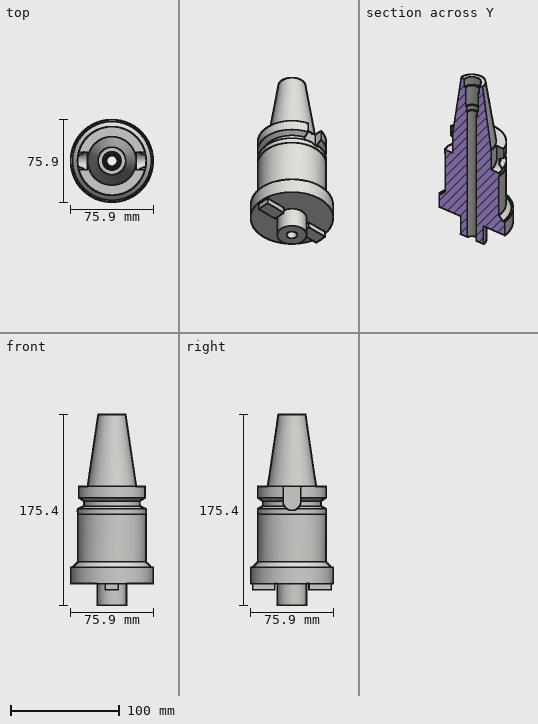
import cadquery as cq

total_height = 175.4
key_bottom = 14.2
collar_bottom = 20.0
collar_top = 35.3
flange_bottom = 83.5
slot_bottom = 87.2
groove_lower_edge = 88.8
groove_floor_bottom = 91.2
groove_floor_top = 95.8
groove_upper_edge = 99.0
flange_top = 109.3
taper_bottom = 110.3

spigot_radius = 13.5
collar_radius = 37.97
flange_radius = 31.5
body_radius = 31.4
groove_radius = 26.8
taper_large_radius = 22.3
taper_small_radius = 12.6

shoulder_height = 4.7
shoulder_radius = body_radius + shoulder_height
body_bottom = collar_top + shoulder_height

entry_radius = 8.5
entry_depth = 8.8
thread_radius = 7.0
thread_depth = 29.8
relief_radius = 6.0
relief_depth = 35.0
through_radius = 4.9

slot_width = 16.1
slot_floor_x = 22.5

key_width = 12.0
key_inner_y = 15.6
key_outer_y = 36.1


def revolved_body():
    outline = [
        (0, 0),
        (spigot_radius, 0),
        (spigot_radius, collar_bottom),
        (collar_radius, collar_bottom),
        (collar_radius, collar_top),
        (shoulder_radius, collar_top),
        (body_radius, body_bottom),
        (body_radius, flange_bottom),
        (flange_radius, flange_bottom),
        (flange_radius, groove_lower_edge),
        (groove_radius, groove_floor_bottom),
        (groove_radius, groove_floor_top),
        (flange_radius, groove_upper_edge),
        (flange_radius, flange_top),
        (taper_large_radius, flange_top),
        (taper_large_radius, taper_bottom),
        (taper_small_radius, total_height),
        (0, total_height),
    ]
    return cq.Workplane("XZ").polyline(outline).close().revolve(360, (0, 0), (0, 1))


def bore_step(radius, depth):
    return cq.Workplane("XY").workplane(offset=total_height - depth).circle(radius).extrude(depth)


def drive_slot(side):
    """Slot cutter on the +X (side = 1) or -X (side = -1) face of the flange."""
    half_width = slot_width / 2
    arc_center_z = slot_bottom + half_width
    return (
        cq.Workplane("YZ")
        .workplane(offset=side * slot_floor_x)
        .moveTo(-half_width, flange_top)
        .lineTo(-half_width, arc_center_z)
        .threePointArc((0, slot_bottom), (half_width, arc_center_z))
        .lineTo(half_width, flange_top)
        .close()
        .extrude(side * flange_radius)
    )


def drive_key(side):
    """Rectangular key under the collar, on the +Y or -Y side."""
    return (
        cq.Workplane("XY")
        .workplane(offset=key_bottom)
        .center(0, side * (key_inner_y + key_outer_y) / 2)
        .rect(key_width, key_outer_y - key_inner_y)
        .extrude(collar_bottom - key_bottom)
    )


result = revolved_body()
for side in (-1, 1):
    result = result.cut(drive_slot(side)).union(drive_key(side))

result = result.cut(bore_step(entry_radius, entry_depth))
result = result.cut(bore_step(thread_radius, thread_depth))
result = result.cut(bore_step(relief_radius, relief_depth))
result = result.cut(bore_step(through_radius, total_height))